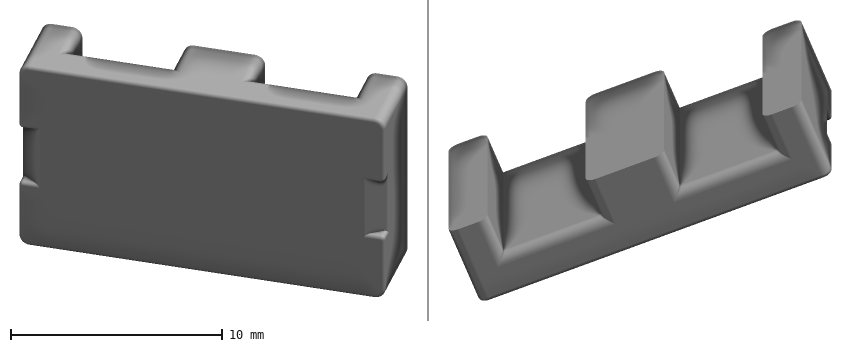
import cadquery as cq

length = 18.0
depth = 4.0
height = 10.0
corner_radius = 0.5
front_radius = 0.2

end_wall = 2.0
rib_width = 4.0
web_thickness = 2.0
channel_width = (length - 2 * end_wall - rib_width) / 2
channel_offset = (rib_width + channel_width) / 2
mouth_radius = 0.5

notch_reach_x = 1.0
notch_reach_y = 0.7
notch_height = 3.0
notch_radius = 0.2

margin = 0.09


def make_block():
    """Block with rounded ends and a softened front rim; the back stays sharp."""
    block = cq.Workplane("XY").box(length, depth, height).translate((0, depth / 2, 0))
    return block.edges("|Y").fillet(corner_radius).faces("<Y").edges().fillet(front_radius)


def cut_channel(body, side):
    """Cut a full-height channel from the back and round its mouth at both Z ends."""
    channel = cq.Workplane("XY").box(channel_width, depth, height + 2 * margin)
    channel = channel.translate((side * channel_offset, web_thickness + depth / 2, 0))
    body = body.cut(channel)
    for end in (-1, 1):
        mouth = cq.selectors.BoxSelector(
            (side * channel_offset - channel_width / 2 - margin, web_thickness - margin,
             end * height / 2 - margin),
            (side * channel_offset + channel_width / 2 + margin, depth + margin,
             end * height / 2 + margin),
        )
        body = body.edges(mouth).fillet(mouth_radius)
    return body


def cut_notch(body, side):
    """Cut a slanted notch across a front end edge and round its rim."""
    end_x = length / 2
    wedge = (
        cq.Workplane("XY")
        .workplane(offset=-notch_height / 2)
        .polyline([
            (side * (end_x - 2 * notch_reach_x), -notch_reach_y),
            (side * (end_x + notch_reach_x), 2 * notch_reach_y),
            (side * (end_x + notch_reach_x), -notch_reach_y),
        ])
        .close()
        .extrude(notch_height)
    )
    body = body.cut(wedge)
    rim = cq.selectors.BoxSelector(
        (side * (end_x - notch_reach_x - margin), -margin, -notch_height / 2 - margin),
        (side * (end_x + margin), notch_reach_y + margin, notch_height / 2 + margin),
    )
    sharp = cq.selectors.BoxSelector(
        (side * (end_x - notch_reach_x / 2 - margin), notch_reach_y / 2 - margin, -height),
        (side * (end_x - notch_reach_x / 2 + margin), notch_reach_y / 2 + margin, height),
    )
    return body.edges(rim - sharp).fillet(notch_radius)


result = make_block()
for side in (-1, 1):
    result = cut_channel(result, side)
    result = cut_notch(result, side)